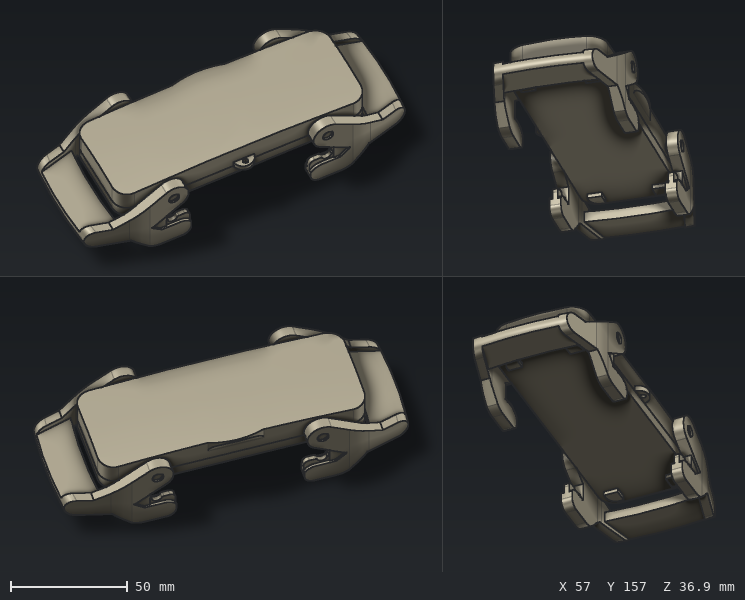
import cadquery as cq
import math


HALF_WIDTH = 21.5
HALF_LENGTH = 59.8
CORNER_RADIUS = 7.2
CROWN_Z = 12.7
CROWN_SAG_X = 1.55
CROWN_SAG_Y = 1.95
BASE_HEIGHT = 5.27

LIP_HALF_LENGTH = 12.5
LIP_REACH = 1.9
LIP_ROOT_Z = 5.4
LIP_CENTRE_Z = 9.6

TAB_CENTRE_X = 20.7
TAB_RADIUS = 5.1
TAB_THICKNESS = 2.6
TAB_HOLE_X = 23.2
TAB_HOLE_DIAMETER = 2.3

FOOT_INNER_X = 11.3
FOOT_OUTER_X = 17.7
FOOT_RADIUS = 4.7
FOOT_HEIGHT = 2.0
FOOT_SIZE = FOOT_OUTER_X - FOOT_INNER_X
FOOT_OUTER_Y = HALF_LENGTH - (HALF_WIDTH - FOOT_OUTER_X)

ARM_OUTER_X = 28.5
ARM_INNER_X = 23.3
LEAN_ANGLE = math.radians(15)
OUTER_BEND_Y = (48.8, 57.9)
INNER_BEND_Y = (55.0, 58.4)

PIVOT_Y = 37.0
PIVOT_Z = 4.5
PIVOT_RADIUS = 7.0
PIN_DIAMETER = 4.2
PIN_RECESS_DIAMETER = 5.0
PIN_RECESS_DEPTH = 1.0

GRIP_TOP_Z = -4.6
GRIP_BOTTOM_Z = -14.65
GRIP_RADIUS = (GRIP_TOP_Z - GRIP_BOTTOM_Z) / 2
GRIP_MID_Z = (GRIP_TOP_Z + GRIP_BOTTOM_Z) / 2
GRIP_END_Y = 78.5
GRIP_BOW_RADIUS = 190.0
GRIP_START_Y = 64.8

HEEL_UPPER_Y = 57.2
HEEL_LOWER = (48.8, -22.55)
HEEL_FLAT_Y = 43.0

HOOK_TIP_Y = 28.7
HOOK_BOTTOM_Z = -24.22
HOOK_LIP_Z = -14.25
HOOK_RADIUS = 4.3
HOOK_LIP_RUN = 5.3
HOOK_LIP_DROP = 2.8
THROAT_FLOOR_Y = 42.9
THROAT_Y = 47.66

WEB_END_Y = 40.2
WEB_INSET = 1.0
TONGUE_INSET = 1.4
TONGUE_THICKNESS = 2.4
TONGUE_TOP_Z = -11.2
TONGUE_RADIUS = 2.6
NOTCH_RADIUS = 2.3
NOTCH_CENTRE_Z = -10.95
NOTCH_LEAD_RADIUS = 0.9

BAR_TOP_Z = -7.55
BAR_BOTTOM_Z = -12.45
BAR_HALF_LENGTH = 23.0
BAR_INNER_Y = (60.5, 61.7)


def arc_radius(half_chord, sag):
    return (half_chord**2 + sag**2) / (2 * sag)


def yz_extrusion(sketch, x_start, x_end):
    """Extrude a YZ outline, drawn on the YZ workplane, from x_start to x_end."""
    return sketch.extrude(x_end - x_start).translate((x_start, 0, 0))



def cover_block(z_bottom, z_top):
    return (
        cq.Workplane("XY", origin=(0, 0, z_bottom))
        .rect(2 * HALF_WIDTH, 2 * HALF_LENGTH)
        .extrude(z_top - z_bottom)
        .edges("|Z")
        .fillet(CORNER_RADIUS)
    )


def thumb_lip():
    lip = (
        cq.Workplane("XY", origin=(0, 0, LIP_ROOT_Z))
        .moveTo(-HALF_WIDTH, -LIP_HALF_LENGTH)
        .threePointArc((-HALF_WIDTH - LIP_REACH, 0), (-HALF_WIDTH, LIP_HALF_LENGTH))
        .close()
        .extrude(CROWN_Z - LIP_ROOT_Z)
    )
    hollow_radius = arc_radius(LIP_CENTRE_Z - LIP_ROOT_Z, LIP_REACH)
    hollow = (
        cq.Workplane("XZ", origin=(-HALF_WIDTH - hollow_radius, LIP_HALF_LENGTH, LIP_ROOT_Z))
        .circle(hollow_radius)
        .extrude(2 * LIP_HALF_LENGTH)
    )
    return lip.cut(hollow)


def crown():
    """Body of revolution about a low X axis, whose rim is the crowned top surface."""
    side_radius = arc_radius(HALF_WIDTH, CROWN_SAG_X)
    length_radius = arc_radius(HALF_LENGTH, CROWN_SAG_Y)
    half_span = HALF_WIDTH + 2 * LIP_REACH
    edge_z = CROWN_Z - side_radius + math.sqrt(side_radius**2 - half_span**2)
    floor_z = -CROWN_Z
    axis_z = CROWN_Z - length_radius
    half_reach = HALF_LENGTH + CORNER_RADIUS
    sweep_angle = 2 * math.degrees(math.asin(half_reach / length_radius))
    return (
        cq.Workplane("XZ")
        .moveTo(-half_span, floor_z)
        .lineTo(-half_span, edge_z)
        .threePointArc((0, CROWN_Z), (half_span, edge_z))
        .lineTo(half_span, floor_z)
        .close()
        .revolve(sweep_angle, (0, axis_z), (1, axis_z))
        .rotate((0, 0, axis_z), (1, 0, axis_z), -sweep_angle / 2)
    )


def lanyard_tab():
    disc = cq.Workplane("XY").center(TAB_CENTRE_X, 0).circle(TAB_RADIUS).extrude(TAB_THICKNESS)
    hole = (
        cq.Workplane("XY")
        .center(TAB_HOLE_X, 0)
        .circle(TAB_HOLE_DIAMETER / 2)
        .extrude(TAB_THICKNESS)
    )
    outside = cq.Workplane("XY").box(
        TAB_RADIUS * 2, TAB_RADIUS * 2, TAB_THICKNESS, centered=(False, True, False)
    ).translate((HALF_WIDTH, 0, 0))
    return disc.intersect(outside).cut(hole)



def arm_side():
    """Full-thickness side outline of the arm, extruded across the arm."""
    run = GRIP_START_Y - PIVOT_Y
    rise = PIVOT_Z - GRIP_TOP_Z
    slope = math.atan2(rise, run) + math.asin(PIVOT_RADIUS / math.hypot(run, rise))
    normal = (PIVOT_RADIUS * math.sin(slope), PIVOT_RADIUS * math.cos(slope))
    upper_touch = (PIVOT_Y + normal[0], PIVOT_Z + normal[1])
    lower_touch = (PIVOT_Y - normal[0], PIVOT_Z - normal[1])
    boss_far = (PIVOT_Y - normal[1], PIVOT_Z + normal[0])
    corner = HOOK_RADIUS * (1 - math.sqrt(0.5))
    hook_corner_middle = (HOOK_TIP_Y + corner, HOOK_BOTTOM_Z + corner)
    hook_corner_end = (HOOK_TIP_Y + HOOK_RADIUS, HOOK_BOTTOM_Z)
    outline = (
        cq.Workplane("YZ")
        .moveTo(GRIP_START_Y, GRIP_TOP_Z)
        .lineTo(*upper_touch)
        .threePointArc(boss_far, lower_touch)
        .lineTo(THROAT_Y, throat_z(slope, lower_touch))
        .lineTo(THROAT_FLOOR_Y, HOOK_LIP_Z)
        .lineTo(HOOK_TIP_Y + HOOK_LIP_RUN, HOOK_LIP_Z)
        .tangentArcPoint((HOOK_TIP_Y, HOOK_LIP_Z - HOOK_LIP_DROP), relative=False)
        .lineTo(HOOK_TIP_Y, HOOK_BOTTOM_Z + HOOK_RADIUS)
        .threePointArc(hook_corner_middle, hook_corner_end)
        .lineTo(HEEL_FLAT_Y, HOOK_BOTTOM_Z)
        .tangentArcPoint(HEEL_LOWER, relative=False)
        .lineTo(HEEL_UPPER_Y, GRIP_BOTTOM_Z)
        .lineTo(GRIP_END_Y, GRIP_BOTTOM_Z)
        .lineTo(GRIP_END_Y, GRIP_TOP_Z)
        .close()
    )
    return yz_extrusion(outline, 0, ARM_OUTER_X)


def throat_z(slope, lower_touch):
    """Height of the throat's inner corner, on the lower edge of the arm."""
    return lower_touch[1] - (THROAT_Y - lower_touch[0]) * math.tan(slope)


def arm_plan():
    """Plan outline of the arm: straight beside the cover, then leaning inward."""
    lean = math.tan(LEAN_ANGLE)
    half_lean = math.tan(LEAN_ANGLE / 2)
    outer_bend_x = ARM_OUTER_X - (OUTER_BEND_Y[1] - OUTER_BEND_Y[0]) * half_lean
    inner_bend_x = ARM_INNER_X - (INNER_BEND_Y[1] - INNER_BEND_Y[0]) * half_lean
    outer_end_x = outer_bend_x - (GRIP_END_Y - OUTER_BEND_Y[1]) * lean
    inner_end_x = inner_bend_x - (GRIP_END_Y - INNER_BEND_Y[1]) * lean
    return (
        cq.Workplane("XY", origin=(0, 0, HOOK_BOTTOM_Z))
        .moveTo(ARM_INNER_X, HOOK_TIP_Y)
        .lineTo(ARM_OUTER_X, HOOK_TIP_Y)
        .lineTo(ARM_OUTER_X, OUTER_BEND_Y[0])
        .tangentArcPoint((outer_bend_x, OUTER_BEND_Y[1]), relative=False)
        .lineTo(outer_end_x, GRIP_END_Y)
        .lineTo(inner_end_x, GRIP_END_Y)
        .lineTo(inner_bend_x, INNER_BEND_Y[1])
        .threePointArc(inner_bend_middle(), (ARM_INNER_X, INNER_BEND_Y[0]))
        .close()
        .extrude(PIVOT_Z + PIVOT_RADIUS - HOOK_BOTTOM_Z)
    )


def inner_bend_middle():
    radius = (INNER_BEND_Y[1] - INNER_BEND_Y[0]) / math.sin(LEAN_ANGLE)
    half = LEAN_ANGLE / 2
    return (ARM_INNER_X - radius * (1 - math.cos(half)), INNER_BEND_Y[0] + radius * math.sin(half))


def throat_web():
    """Thinner web that closes the back of the hook's throat."""
    outline = (
        cq.Workplane("YZ")
        .moveTo(WEB_END_Y, HOOK_LIP_Z)
        .lineTo(WEB_END_Y, PIVOT_Z - PIVOT_RADIUS)
        .lineTo(THROAT_Y, PIVOT_Z - PIVOT_RADIUS)
        .lineTo(THROAT_Y, HOOK_LIP_Z)
        .close()
    )
    return yz_extrusion(outline, ARM_INNER_X, ARM_OUTER_X - WEB_INSET)


def hook_tongue():
    """Raised middle layer of the hook, with a round locking notch under the pivot."""
    outline = (
        cq.Workplane("YZ")
        .moveTo(HOOK_TIP_Y, HOOK_LIP_Z - HOOK_RADIUS)
        .lineTo(HOOK_TIP_Y, TONGUE_TOP_Z)
        .lineTo(WEB_END_Y, TONGUE_TOP_Z)
        .lineTo(WEB_END_Y, HOOK_LIP_Z - HOOK_RADIUS)
        .close()
    )
    outer_x = ARM_OUTER_X - TONGUE_INSET
    inner_x = outer_x - TONGUE_THICKNESS
    tongue = yz_extrusion(outline, inner_x, outer_x).edges("|X and <Y and >Z").fillet(TONGUE_RADIUS)
    notch = cq.Workplane("YZ").center(PIVOT_Y, NOTCH_CENTRE_Z).circle(NOTCH_RADIUS)
    notch_lip = cq.NearestToPointSelector(
        ((inner_x + outer_x) / 2, PIVOT_Y - NOTCH_RADIUS, TONGUE_TOP_Z)
    )
    notched = tongue.cut(yz_extrusion(notch, inner_x, outer_x))
    return notched.edges("|X").edges(notch_lip).fillet(NOTCH_LEAD_RADIUS)


def pivot_cylinder(diameter, x_start, x_end):
    circle = cq.Workplane("YZ").center(PIVOT_Y, PIVOT_Z).circle(diameter / 2)
    return yz_extrusion(circle, x_start, x_end)


def arm():
    pin = pivot_cylinder(PIN_DIAMETER, HALF_WIDTH, ARM_INNER_X)
    recess = pivot_cylinder(PIN_RECESS_DIAMETER, ARM_OUTER_X - PIN_RECESS_DEPTH, ARM_OUTER_X)
    body = arm_side().intersect(arm_plan())
    return body.union(throat_web()).union(hook_tongue()).cut(recess).union(pin)


def bar():
    """Plate between the arms, with a bowed inner edge and ends set into the leaning arms."""
    end_half_length = BAR_HALF_LENGTH - (GRIP_END_Y - BAR_INNER_Y[0]) * math.tan(LEAN_ANGLE)
    return (
        cq.Workplane("XY", origin=(0, 0, BAR_BOTTOM_Z))
        .moveTo(-BAR_HALF_LENGTH, BAR_INNER_Y[0])
        .threePointArc((0, BAR_INNER_Y[1]), (BAR_HALF_LENGTH, BAR_INNER_Y[0]))
        .lineTo(end_half_length, GRIP_END_Y)
        .lineTo(-end_half_length, GRIP_END_Y)
        .close()
        .extrude(BAR_TOP_Z - BAR_BOTTOM_Z)
    )


def grip_envelope():
    """Space that the lever fills: its end is a bowed half-round rim across both arms and the bar."""
    height = PIVOT_Z + PIVOT_RADIUS - HOOK_BOTTOM_Z
    behind_grip = cq.Workplane("XY", origin=(0, 0, HOOK_BOTTOM_Z)).box(
        2 * ARM_OUTER_X, GRIP_START_Y, height, centered=(True, False, False)
    )
    rim_start = GRIP_BOW_RADIUS - GRIP_RADIUS
    disc = (
        cq.Workplane("XZ")
        .moveTo(0, GRIP_BOTTOM_Z)
        .lineTo(rim_start, GRIP_BOTTOM_Z)
        .threePointArc((GRIP_BOW_RADIUS, GRIP_MID_Z), (rim_start, GRIP_TOP_Z))
        .lineTo(0, GRIP_TOP_Z)
        .close()
        .revolve(360, (0, 0), (0, 1))
        .translate((0, GRIP_END_Y - GRIP_BOW_RADIUS, 0))
    )
    return behind_grip.union(disc)


def lever():
    right_arm = arm()
    square_ended = right_arm.union(right_arm.mirror("YZ")).union(bar())
    return square_ended.intersect(grip_envelope())


cover = cover_block(0, CROWN_Z).union(thumb_lip()).intersect(crown()).union(lanyard_tab())
end_lever = lever()
for one_lever in (end_lever, end_lever.mirror("XZ")):
    cover = cover.union(one_lever)


def foot():
    return (
        cq.Workplane("XY", origin=(0, 0, -BASE_HEIGHT - FOOT_HEIGHT))
        .center(FOOT_OUTER_X - FOOT_SIZE / 2, FOOT_OUTER_Y - FOOT_SIZE / 2)
        .rect(FOOT_SIZE, FOOT_SIZE)
        .extrude(FOOT_HEIGHT)
        .edges("|Z and >X and >Y")
        .fillet(FOOT_RADIUS)
    )


base = cover_block(-BASE_HEIGHT, 0)
right_feet = foot().union(foot().mirror("XZ"))
base = base.union(right_feet).union(right_feet.mirror("YZ"))

result = cq.Compound.makeCompound([cover.val(), base.val()])